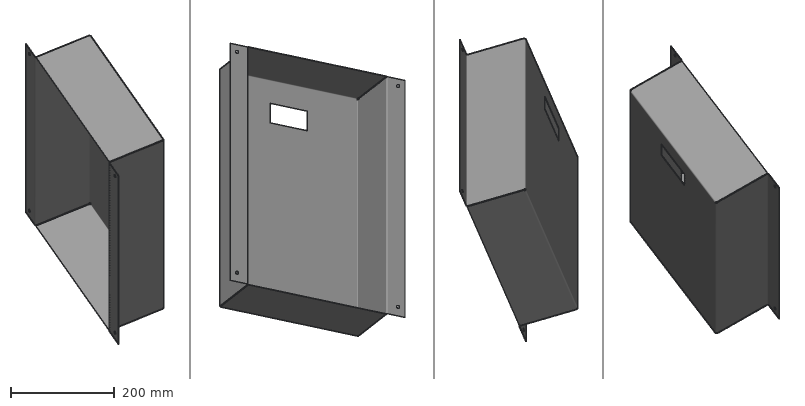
import cadquery as cq

width = 380.0
depth = 121.5
height = 503.0

sheet = 1.5
bend_inner = 1.5
bend_outer = bend_inner + sheet

box_width = 303.5
corner_gap = 0.1
lip_setback = 1.5

window_width = 80.5
window_height = 41.0
window_z = 181.0
hole_diameter = 6.0
hole_x = 175.0
upper_hole_z = 235.0
lower_hole_z = -231.0

flat_width = box_width - 2 * bend_outer
flat_height = height - 2 * bend_outer
side_height = height - 2 * sheet
lid_width = box_width - 2 * (sheet + corner_gap)
bend_start = depth - bend_outer


def block(x0, x1, y0, y1, z0, z1):
    """Box between opposite corner coordinates."""
    return cq.Workplane("XY").box(x1 - x0, y1 - y0, z1 - z0, centered=False).translate((x0, y0, z0))


def bend(center, toward, length):
    """Quarter-round bend along Z, in the (sign x, sign y) quadrant of its centre."""
    x, y = center
    reach_x, reach_y = (sign * bend_outer for sign in toward)
    ring = cq.Workplane("XY").circle(bend_outer).circle(bend_inner).extrude(length)
    quadrant = block(
        min(0, reach_x), max(0, reach_x), min(0, reach_y), max(0, reach_y), 0, length
    )
    return ring.intersect(quadrant).translate((x, y, -length / 2))


def back_plate():
    plate = block(
        -flat_width / 2, flat_width / 2, depth - sheet, depth, -flat_height / 2, flat_height / 2
    )
    window = cq.Workplane("XY").box(window_width, 4 * sheet, window_height)
    return plate.cut(window.translate((0, depth - sheet / 2, window_z)))


def side_wall():
    """Right-hand wall with its back bend, flange bend and drilled mounting flange."""
    outer = box_width / 2
    inner = outer - sheet
    flange_start = inner + bend_outer
    wall = block(inner, outer, bend_outer, bend_start, -side_height / 2, side_height / 2)
    flange = block(flange_start, width / 2, 0, sheet, -side_height / 2, side_height / 2)
    holes = (
        cq.Workplane("XZ")
        .pushPoints([(hole_x, lower_hole_z), (hole_x, upper_hole_z)])
        .circle(hole_diameter / 2)
        .extrude(2 * sheet, both=True)
    )
    back_bend = bend((outer - bend_outer, bend_start), (1, 1), flat_height)
    flange_bend = bend((flange_start, bend_outer), (-1, -1), side_height)
    return wall.union(back_bend).union(flange_bend).union(flange.cut(holes))


def top_wall():
    """Upper wall and the bend that joins it to the back plate."""
    wall = block(
        -lid_width / 2, lid_width / 2, lip_setback, bend_start, height / 2 - sheet, height / 2
    )
    back_bend = bend((0, bend_start), (1, 1), flat_width)
    back_bend = back_bend.rotate((0, 0, 0), (0, 1, 0), -90)
    return wall.union(back_bend.translate((0, 0, height / 2 - bend_outer)))


side = side_wall()
top = top_wall()
result = (
    back_plate()
    .union(side)
    .union(side.mirror("YZ"))
    .union(top)
    .union(top.mirror("XY"))
)